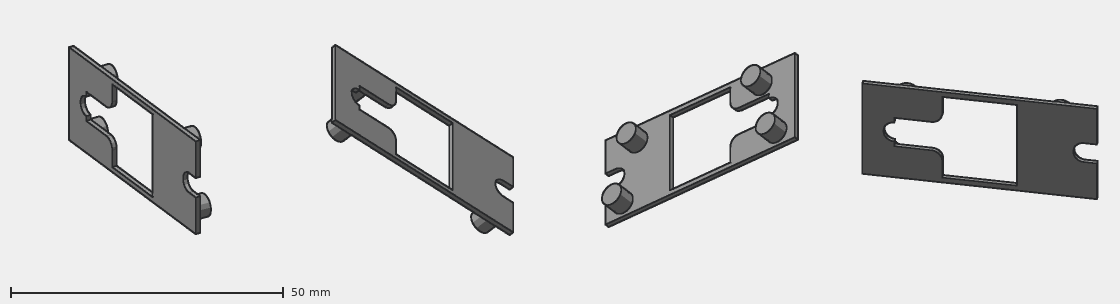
import cadquery as cq

plate_length = 44.0
plate_height = 19.2
plate_thickness = 1.0

window_left = -7.0
window_right = 7.0
window_height = 17.1
slot_left = -16.0
slot_height = 6.0
slot_corner_radius = 2.0

relief_radius = 2.0
notch_radius = 2.0
notch_left = 17.6

pin_diameter = 4.5
pin_length = 3.5
upper_pin_x = 14.45
upper_pin_z = 5.8
lower_pin_x = 17.85
lower_pin_z = -6.6


def make_plate():
    """Plain rectangular plate."""
    return cq.Workplane("XY").box(
        plate_length, plate_thickness, plate_height, centered=(True, False, True)
    )


def make_window():
    """Window and slot in one outline, with rounded corners where the two meet."""
    half_window = window_height / 2
    half_slot = slot_height / 2
    corner_x = window_left - slot_corner_radius
    corner_z = half_slot + slot_corner_radius
    return (
        cq.Workplane("XZ")
        .moveTo(slot_left, -half_slot)
        .lineTo(corner_x, -half_slot)
        .radiusArc((window_left, -corner_z), slot_corner_radius)
        .lineTo(window_left, -half_window)
        .lineTo(window_right, -half_window)
        .lineTo(window_right, half_window)
        .lineTo(window_left, half_window)
        .lineTo(window_left, corner_z)
        .radiusArc((corner_x, half_slot), slot_corner_radius)
        .lineTo(slot_left, half_slot)
        .close()
        .extrude(-plate_thickness)
    )


def make_relief():
    """Round relief centred on the end wall of the slot."""
    return cq.Workplane("XZ").center(slot_left, 0).circle(relief_radius).extrude(-plate_thickness)


def make_notch():
    """Round-bottomed notch, open at the right edge of the plate."""
    right_edge = plate_length / 2
    arc_x = notch_left + notch_radius
    return (
        cq.Workplane("XZ")
        .moveTo(right_edge, notch_radius)
        .lineTo(arc_x, notch_radius)
        .threePointArc((notch_left, 0), (arc_x, -notch_radius))
        .lineTo(right_edge, -notch_radius)
        .close()
        .extrude(-plate_thickness)
    )


def make_pins():
    """Four round pins standing on the back face."""
    centers = []
    for side in (-1, 1):
        centers.append((side * upper_pin_x, upper_pin_z))
        centers.append((side * lower_pin_x, lower_pin_z))
    return (
        cq.Workplane("XZ", origin=(0, plate_thickness, 0))
        .pushPoints(centers)
        .circle(pin_diameter / 2)
        .extrude(-pin_length)
    )


result = make_plate().cut(make_window()).cut(make_relief()).cut(make_notch()).union(make_pins())